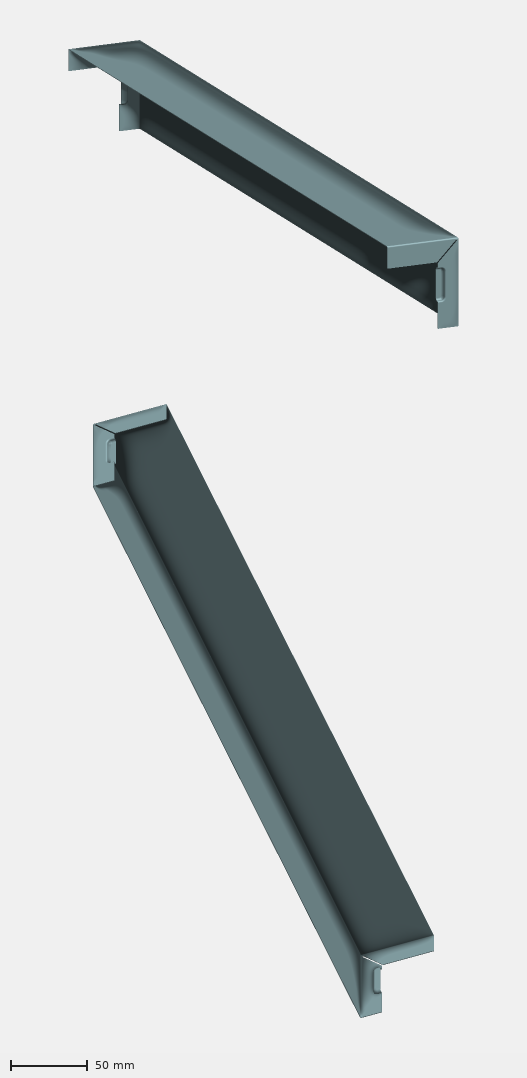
import cadquery as cq

length = 502.0
depth = 51.0
height = 60.0
sheet = 0.5
bend_radius = 1.0

flange_width = 15.0
mitre_gap = 1.0
mitre_start = 1.5

recess_height = 22.0
recess_reach = 5.0
recess_offset = 3.0
recess_corner = 2.5
recess_middle_drop = 30.5
mouth_radius = 1.0
floor_radius = 1.5

half_length = length / 2
half_depth = depth / 2
half_height = height / 2
flange_edge = half_depth - flange_width
recess_middle = half_height - recess_middle_drop


def folded_envelope(inset, radius):
    """Solid bounded by the plates and flanges, with rounded bends; open toward -Y and -Z."""
    body = cq.Workplane("XY").box(length - 2 * inset, depth, height).translate((0, -inset, -inset))
    bends = body.edges("(|Y and >Z) or (|Z and >Y) or (|X and >Y and >Z)")
    return bends.fillet(radius)


def folded_shell():
    """Top plate, back wall and the narrow end flanges."""
    outside = folded_envelope(0, bend_radius)
    inside = folded_envelope(sheet, bend_radius - sheet)
    open_corner = cq.Workplane("XY").box(length, depth, height).translate((0, -flange_width, -flange_width))
    return outside.cut(inside).cut(open_corner)


def mitre_cut():
    """Slot at 45 degrees between the two flanges, through both ends."""
    gap_shift = mitre_gap / 2 * 2**0.5
    start_y = half_depth - mitre_start
    start_z = half_height - mitre_start
    end_y = start_y - flange_width
    end_z = start_z - flange_width
    outline = [
        (start_y - gap_shift, start_z),
        (start_y, start_z),
        (start_y, start_z - gap_shift),
        (end_y, end_z - gap_shift),
        (end_y - gap_shift, end_z),
    ]
    return cq.Workplane("YZ").polyline(outline).close().extrude(half_length, both=True)


def recess_block(margin):
    """Pressed block centred on the origin, grown by margin, with a rounded floor facing +X."""
    block = cq.Workplane("XY").box(
        recess_offset + margin, 2 * (recess_reach + margin), recess_height + 2 * margin
    )
    block = block.edges("|X").fillet(recess_corner + margin)
    block = block.faces(">X").edges().fillet(floor_radius + margin)
    return block.translate((margin / 2, 0, 0))


def place_recess(body):
    """Move a body built about the origin to the free edge of the -X wall flange."""
    return body.translate((recess_offset / 2 - half_length, flange_edge, recess_middle))


def recess_pressing():
    """Sheet-covered outside of the recess, stopping at the flange edge."""
    block = recess_block(sheet)
    open_side = cq.Workplane("XY").box(length, depth, height).translate((0, -half_depth, 0))
    return place_recess(block.cut(open_side))


def recess_hollow():
    """Hollow at the -X end with a rounded mouth, continued past the flange edge into the open."""
    slab_height = recess_height + 4 * mouth_radius
    slab_width = 2 * recess_reach + 4 * mouth_radius
    slab = cq.Workplane("XY").box(recess_offset, slab_width, slab_height)
    opening = recess_block(0)
    ring = slab.cut(opening)
    mouth_edges = ring.faces("<X").val().innerWires()[0].Edges()
    rounded_ring = ring.newObject([ring.solids().val().fillet(mouth_radius, mouth_edges)])
    return place_recess(slab.cut(rounded_ring))


pressing = recess_pressing()
hollow = recess_hollow()

result = folded_shell().cut(mitre_cut())
result = result.union(pressing).union(pressing.mirror("YZ"))
result = result.cut(hollow).cut(hollow.mirror("YZ"))